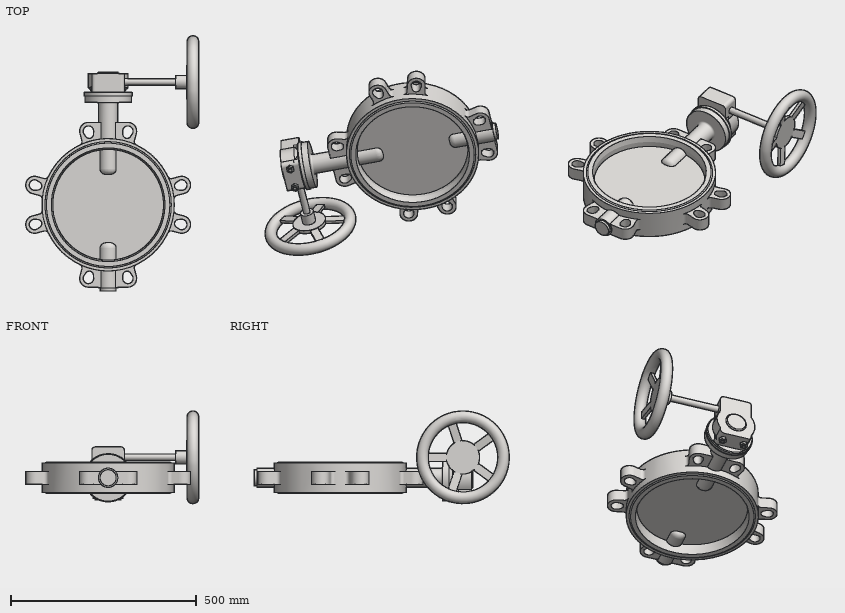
import cadquery as cq
import math


RING_RADIUS = 178
RING_HALF_LENGTH = 40
SEAL_OUTER_RADIUS = 170
SEAL_FACE_RADIUS = 166
SEAL_HEIGHT = 2
BORE_RADIUS = 153
SEAT_TOP = 25.5

DISC_RADIUS = 149
DISC_HALF_THICKNESS = 11
DISC_HUB_RADIUS = 24.3
DISC_HUB_ROUND = 15
UPPER_HUB_END = 81
LOWER_HUB_END = -101.6

LUG_CIRCLE_RADIUS = 205
LUG_START_RADIUS = (RING_RADIUS + BORE_RADIUS) / 2
LUG_RADIUS = 23.9
LUG_THICKNESS = 35
LUG_HALF_ANGLE = 15
LUG_ROOT_FILLET = 10
LUG_HOLE_RADIUS = 13.8
LUG_HOLE_INNER_RADIUS = 11
LUG_HOLE_TAPER_LENGTH = 8.6

NECK_RADIUS = 26
NECK_FLARE = 5
TOP_FLANGE_RADIUS = 63
TOP_FLANGE_BOTTOM = 275.3
TOP_FLANGE_TOP = 292.8
LOWER_BOSS_END = -224.5
END_CAP_RADIUS = 21.7
END_CAP_END = -232

PLATE_RADIUS = 65
PLATE_CHAMFER = 2.5
GEARBOX_BOTTOM = 304
GEARBOX_TOP = 353
GEARBOX_HALF_WIDTH = 44
GEARBOX_LOW = -48
GEARBOX_HIGH = 83.5
GEARBOX_ROUND = 10
DRUM_RADIUS = 54
DRUM_CHAMFER = 11
COVER_RADIUS = 29
COVER_HEIGHT = 4
COVER_CHAMFER = 3

BOLT_CIRCLE_RADIUS = 51
BOLT_COUNT = 4
BOLT_RADIUS = 9.5
BOLT_TOP = 317.5

STOP_SCREW_X = 30
STOP_NUT_FLATS = 17.8
STOP_NUT_HEIGHT = 8
STOP_STUD_RADIUS = 5
STOP_STUD_LENGTH = 11.4

WHEEL_Y = 330
WHEEL_Z = 55
WHEEL_X = 228
WHEEL_RADIUS = 125
RIM_RADIUS = 16
HUB_PLATE_RADIUS = 45
HUB_PLATE_START = 211
HUB_PLATE_THICKNESS = 10
SPOKE_COUNT = 5
SPOKE_WIDTH = 23
SPOKE_THICKNESS = 8.5
SPOKE_ROOT_RADIUS = 40
HUB_RADIUS = 18
HUB_START = 181.5
SHAFT_RADIUS = 9

TOLERANCE = 0.001



def y_cylinder(radius, start, end, x=0, z=0):
    """Cylinder along Y between two Y positions."""
    return cq.Workplane("XZ", origin=(x, start, z)).circle(radius).extrude(start - end)


def x_cylinder(radius, start, end):
    """Cylinder along X on the handwheel axis between two X positions."""
    return cq.Workplane("YZ", origin=(start, WHEEL_Y, WHEEL_Z)).circle(radius).extrude(end - start)




def ring_and_disc():
    """Solid of revolution: body ring, raised seal faces and the disc web across the bore."""
    seal_z = RING_HALF_LENGTH + SEAL_HEIGHT
    upper_side = [
        (0, DISC_HALF_THICKNESS),
        (DISC_RADIUS, DISC_HALF_THICKNESS),
        (DISC_RADIUS, SEAT_TOP),
        (BORE_RADIUS, seal_z),
        (SEAL_FACE_RADIUS, seal_z),
        (SEAL_OUTER_RADIUS, RING_HALF_LENGTH),
        (RING_RADIUS, RING_HALF_LENGTH),
    ]
    lower_side = [(r, -z) for r, z in reversed(upper_side)]
    profile = cq.Workplane("XZ").polyline(upper_side + lower_side).close()
    return profile.revolve(360, (0, 0, 0), (0, 1, 0))


def lug_arm(angle):
    """Round-ended lug that reaches from the ring out along the given angle."""
    arm_length = LUG_CIRCLE_RADIUS - LUG_START_RADIUS
    arm = (
        cq.Workplane("XY")
        .center(LUG_START_RADIUS + arm_length / 2, 0)
        .rect(arm_length, 2 * LUG_RADIUS)
        .extrude(LUG_THICKNESS / 2, both=True)
    )
    end = (
        cq.Workplane("XY")
        .center(LUG_CIRCLE_RADIUS, 0)
        .circle(LUG_RADIUS)
        .extrude(LUG_THICKNESS / 2, both=True)
    )
    return arm.union(end).rotate((0, 0, 0), (0, 0, 1), angle)


def lug_hole(angle):
    """Egg-shaped bolt hole: a wide outer arc and a narrow inner arc joined by tangents."""
    tangent_angle = math.acos((LUG_HOLE_RADIUS - LUG_HOLE_INNER_RADIUS) / LUG_HOLE_TAPER_LENGTH)
    inner_centre = LUG_CIRCLE_RADIUS - LUG_HOLE_TAPER_LENGTH

    def tangent_point(centre, radius, side):
        return (
            centre - radius * math.cos(tangent_angle),
            side * radius * math.sin(tangent_angle),
        )

    hole = (
        cq.Workplane("XY")
        .moveTo(*tangent_point(LUG_CIRCLE_RADIUS, LUG_HOLE_RADIUS, -1))
        .threePointArc(
            (LUG_CIRCLE_RADIUS + LUG_HOLE_RADIUS, 0),
            tangent_point(LUG_CIRCLE_RADIUS, LUG_HOLE_RADIUS, 1),
        )
        .lineTo(*tangent_point(inner_centre, LUG_HOLE_INNER_RADIUS, 1))
        .threePointArc(
            (inner_centre - LUG_HOLE_INNER_RADIUS, 0),
            tangent_point(inner_centre, LUG_HOLE_INNER_RADIUS, -1),
        )
        .close()
        .extrude(LUG_THICKNESS, both=True)
    )
    return hole.rotate((0, 0, 0), (0, 0, 1), angle)


def lug_bridge(side):
    """Flat-ended plate that joins the two lugs beside the stem (side is +1 or -1 in Y)."""
    lug_angle = math.radians(LUG_HALF_ANGLE)
    half_width = LUG_CIRCLE_RADIUS * math.sin(lug_angle)
    outer_y = LUG_CIRCLE_RADIUS * math.cos(lug_angle) + LUG_RADIUS
    inner_y = LUG_START_RADIUS
    return (
        cq.Workplane("XY")
        .center(0, side * (inner_y + outer_y) / 2)
        .rect(2 * half_width, outer_y - inner_y)
        .extrude(LUG_THICKNESS / 2, both=True)
    )


def is_lug_corner(edge):
    """True for a lug-high edge that lies on the outside of the ring."""
    centre = edge.Center()
    on_ring = abs(math.hypot(centre.x, centre.y) - RING_RADIUS) < TOLERANCE
    lug_high = abs(edge.Length() - LUG_THICKNESS) < TOLERANCE
    return on_ring and lug_high


def disc_hub(end, side):
    """Stem hub on the disc, with a rounded free end (side is +1 or -1 in Y)."""
    hub = y_cylinder(DISC_HUB_RADIUS, end, side * SEAL_OUTER_RADIUS)
    return hub.faces("<Y" if side > 0 else ">Y").edges().fillet(DISC_HUB_ROUND)


def neck():
    """Upper stem housing, flared into the top flange."""
    root = SEAL_OUTER_RADIUS
    outer = NECK_RADIUS + NECK_FLARE
    flare_start = TOP_FLANGE_BOTTOM - NECK_FLARE
    flare_mid = NECK_FLARE * math.sqrt(0.5)
    profile = (
        cq.Workplane("XY")
        .moveTo(0, root)
        .lineTo(NECK_RADIUS, root)
        .lineTo(NECK_RADIUS, flare_start)
        .threePointArc((outer - flare_mid, flare_start + flare_mid), (outer, TOP_FLANGE_BOTTOM))
        .lineTo(TOP_FLANGE_RADIUS, TOP_FLANGE_BOTTOM)
        .lineTo(TOP_FLANGE_RADIUS, TOP_FLANGE_TOP)
        .lineTo(0, TOP_FLANGE_TOP)
        .close()
    )
    return profile.revolve(360, (0, 0, 0), (0, 1, 0))


def make_valve():
    lug_angles = [
        axis + side * LUG_HALF_ANGLE
        for axis in (0, 90, 180, 270)
        for side in (-1, 1)
    ]
    valve = ring_and_disc()
    for angle in lug_angles:
        valve = valve.union(lug_arm(angle))
    for side in (1, -1):
        valve = valve.union(lug_bridge(side))

    valve = valve.edges("|Z").filter(is_lug_corner).fillet(LUG_ROOT_FILLET)

    for angle in lug_angles:
        valve = valve.cut(lug_hole(angle))

    valve = valve.union(disc_hub(UPPER_HUB_END, 1)).union(disc_hub(LOWER_HUB_END, -1))
    valve = valve.union(neck())
    valve = valve.union(y_cylinder(NECK_RADIUS, -SEAL_OUTER_RADIUS, LOWER_BOSS_END))
    return valve.union(y_cylinder(END_CAP_RADIUS, LOWER_BOSS_END, END_CAP_END))




def gear_housing():
    """Rounded box merged with a drum, on a round mounting plate."""
    plate = y_cylinder(PLATE_RADIUS, TOP_FLANGE_TOP, GEARBOX_BOTTOM)
    plate = plate.faces(">Y").edges().chamfer(PLATE_CHAMFER)

    depth = GEARBOX_TOP - GEARBOX_BOTTOM
    box = (
        cq.Workplane("XY")
        .box(2 * GEARBOX_HALF_WIDTH, depth, GEARBOX_HIGH - GEARBOX_LOW)
        .edges("|Y")
        .fillet(GEARBOX_ROUND)
        .translate((0, GEARBOX_BOTTOM + depth / 2, (GEARBOX_HIGH + GEARBOX_LOW) / 2))
    )

    drum = y_cylinder(DRUM_RADIUS, GEARBOX_BOTTOM, GEARBOX_TOP)
    drum = drum.faces("<Y").edges().chamfer(DRUM_CHAMFER)
    above_base = (
        cq.Workplane("XY", origin=(0, GEARBOX_BOTTOM + depth / 2, GEARBOX_LOW))
        .rect(2 * DRUM_RADIUS, depth)
        .extrude(GEARBOX_HIGH - GEARBOX_LOW)
    )
    drum = drum.intersect(above_base)

    cover = y_cylinder(COVER_RADIUS, GEARBOX_TOP, GEARBOX_TOP + COVER_HEIGHT)
    cover = cover.faces(">Y").edges().chamfer(COVER_CHAMFER)
    return plate.union(box).union(drum).union(cover)


def mounting_bolt(index):
    """Round bolt boss on the mounting plate."""
    angle = math.radians((index + 0.5) * 360 / BOLT_COUNT)
    x = BOLT_CIRCLE_RADIUS * math.cos(angle)
    z = BOLT_CIRCLE_RADIUS * math.sin(angle)
    return y_cylinder(BOLT_RADIUS, GEARBOX_BOTTOM, BOLT_TOP, x, z)


def stop_screw(x):
    """Hexagon nut and stud end below the gearbox, with nut corners towards +X and -X."""
    base = cq.Workplane("XY", origin=(x, WHEEL_Y, GEARBOX_LOW))
    across_corners = STOP_NUT_FLATS / math.cos(math.radians(30))
    nut = base.polygon(6, across_corners).extrude(-STOP_NUT_HEIGHT)
    return nut.union(base.circle(STOP_STUD_RADIUS).extrude(-STOP_STUD_LENGTH))


def wheel_spoke(index):
    """Flat spoke that slopes from the centre plate back to the middle of the rim tube."""
    root_x = HUB_PLATE_START + HUB_PLATE_THICKNESS / 2
    root_y = WHEEL_Y - SPOKE_ROOT_RADIUS
    tip_y = WHEEL_Y - WHEEL_RADIUS + RIM_RADIUS
    half_thickness = SPOKE_THICKNESS / 2
    spoke = (
        cq.Workplane("XY", origin=(0, 0, WHEEL_Z))
        .moveTo(root_x - half_thickness, root_y)
        .lineTo(root_x + half_thickness, root_y)
        .lineTo(WHEEL_X + half_thickness, tip_y)
        .lineTo(WHEEL_X - half_thickness, tip_y)
        .close()
        .extrude(SPOKE_WIDTH / 2, both=True)
    )
    turn = index * 360 / SPOKE_COUNT
    return spoke.rotate((0, WHEEL_Y, WHEEL_Z), (1, WHEEL_Y, WHEEL_Z), turn)


def handwheel():
    """Rim, spokes, centre plate and hub on the worm shaft."""
    rim_centre_radius = WHEEL_RADIUS - RIM_RADIUS
    rim = (
        cq.Workplane("XY", origin=(WHEEL_X, WHEEL_Y, WHEEL_Z))
        .center(0, rim_centre_radius)
        .circle(RIM_RADIUS)
        .revolve(360, (0, -rim_centre_radius, 0), (1, -rim_centre_radius, 0))
    )
    plate_end = HUB_PLATE_START + HUB_PLATE_THICKNESS
    wheel = rim.union(x_cylinder(HUB_PLATE_RADIUS, HUB_PLATE_START, plate_end))
    for index in range(SPOKE_COUNT):
        wheel = wheel.union(wheel_spoke(index))
    wheel = wheel.union(x_cylinder(HUB_RADIUS, HUB_START, HUB_PLATE_START))
    return wheel.union(x_cylinder(SHAFT_RADIUS, 0, HUB_START))


def make_gear_operator():
    operator = gear_housing()
    for index in range(BOLT_COUNT):
        operator = operator.union(mounting_bolt(index))
    for x in (-STOP_SCREW_X, STOP_SCREW_X):
        operator = operator.union(stop_screw(x))
    return operator.union(handwheel())


valve = make_valve()
gear_operator = make_gear_operator()

result = cq.Compound.makeCompound([valve.val(), gear_operator.val()])